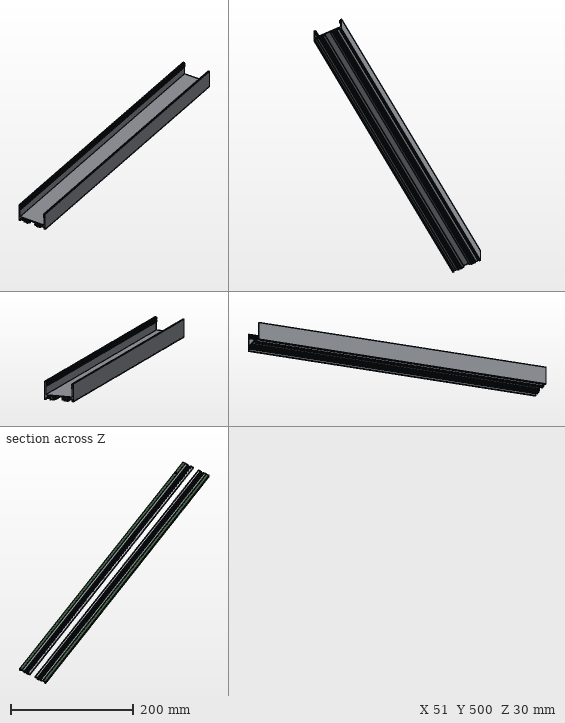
import cadquery as cq

length = 500.0
width = 51.0
height = 30.0

wall = 2.5
floor_top = 8.0
floor_thickness = 2.0
floor_bottom = floor_top - floor_thickness

lip_reach = 1.0
lip_height = 2.0
lip_drops = (1.5, 6.0)

port_offset = 7.5
port_height = 4.75
port_radius = 2.0
port_shell = 0.75
corner_block_reach = 5.0
corner_block_depth = 3.0

leg_offset = 9.5
leg_width = 1.5

stem_offset = 15.0
stem_width = 1.5
ledge_reach = 5.5
ledge_bottom = 1.5
ledge_thickness = 2.0
toe_offset = 13.5
toe_width = 3.5

joint_height = floor_bottom + floor_thickness / 2


def bar(offset, bar_width, bottom, top):
    """Full-length bar, placed by its distance inward from the left side face."""
    return cq.Workplane("XY").box(
        bar_width, length, top - bottom, centered=(False, True, False)
    ).translate((offset - width / 2, 0, bottom))


def port_cylinder(radius):
    """Full-length cylinder on the axis of the left screw port."""
    return (
        cq.Workplane("XZ")
        .center(port_offset - width / 2, port_height)
        .circle(radius)
        .extrude(length / 2, both=True)
    )


def wall_with_lips():
    side = bar(0, wall, 0, height)
    for drop in lip_drops:
        lip_top = height - drop
        side = side.union(bar(0, wall + lip_reach, lip_top - lip_height, lip_top))
    return side


def screw_port():
    block = bar(0, corner_block_reach, floor_bottom - corner_block_depth, joint_height)
    leg = bar(leg_offset, leg_width, 0, joint_height)
    shell = port_cylinder(port_radius + port_shell)
    return block.union(leg).union(shell).cut(port_cylinder(port_radius))


def hook():
    ledge_top = ledge_bottom + ledge_thickness
    stem = bar(stem_offset, stem_width, 0, joint_height)
    ledge = bar(stem_offset, ledge_reach, ledge_bottom, ledge_top)
    toe = bar(toe_offset, toe_width, 0, ledge_bottom)
    return stem.union(ledge).union(toe)


floor = bar(0, width, floor_bottom, floor_top)
left_side = wall_with_lips().union(screw_port()).union(hook())
right_side = left_side.mirror("YZ")
result = floor.union(left_side).union(right_side)